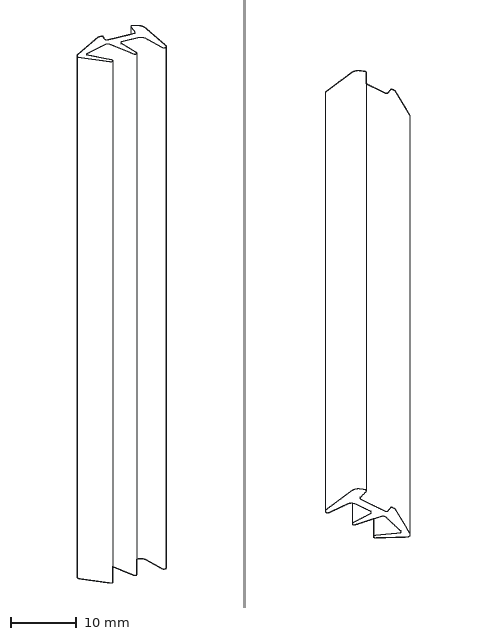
import cadquery as cq
import math

WIDTH = 7.27
DEPTH = 13.5
LENGTH = 100.0

LEFT = -WIDTH / 2
RIGHT = WIDTH / 2
FRONT = -DEPTH / 2
BACK = DEPTH / 2

WEB_LEFT = -1.66
WEB_THICKNESS = 1.2
WEB_RIGHT = WEB_LEFT + WEB_THICKNESS

TIP_RADIUS = 0.27
HEAD_TIP_RADIUS = 0.38
NOSE_RADIUS = 0.3
APEX_RADIUS = 0.5
SHOULDER_RADIUS = 1.5
HEAD_ROOT_RADIUS = 1.2
MIDDLE_ROOT_RADIUS = 0.3
BEND_RADIUS = 0.6
VALLEY_RADIUS = 0.2
BARB_RADIUS = 0.1
SMALL_ROOT_RADIUS = 0.3

APEX_X = 0.47
FOOT_TIP_Y = -2.4
VALLEY_X = 0.58
VALLEY_Y = -5.06
BEND_X = -0.15
BEND_Y = -1.55
MIDDLE_TIP_X = 2.95
MIDDLE_TIP_Y = 1.67
MIDDLE_ROOT_Y = 0.92
HEAD_ROOT_Y = 3.5
HEAD_TIP_X = 2.98
SHOULDER_X = -1.95
SHOULDER_Y = 4.0
NOSE_Y = 3.8
HEAD_UNDERSIDE_Y = 3.62

BARB_X = -2.86
BARB_TOP_Y = -1.33
BARB_BOTTOM_Y = -2.1


def convex(x, y, radius):
    """Outward rounded corner, given by its arc centre."""
    return x, y, radius


def concave(x, y, radius):
    """Inward rounded corner, given by its arc centre; its radius is stored negative."""
    return x, y, -radius


def tangent_heading(start, end):
    """Heading of the straight line that leaves one corner arc and meets the next one."""
    dx = end[0] - start[0]
    dy = end[1] - start[1]
    offset = end[2] - start[2]
    return math.atan2(dy, dx) - math.asin(offset / math.hypot(dx, dy))


def arc_point(corner, heading):
    """Point of a corner arc where the outline runs along the given heading."""
    x, y, radius = corner
    return x + radius * math.sin(heading), y - radius * math.cos(heading)


def rounded_outline(corners):
    """Closed counter-clockwise wire of corner arcs joined by their common tangents."""
    count = len(corners)
    headings = [tangent_heading(corners[i], corners[(i + 1) % count]) for i in range(count)]
    outline = cq.Workplane("XY").moveTo(*arc_point(corners[0], headings[0]))
    for i in range(1, count + 1):
        corner = corners[i % count]
        heading_in = headings[i - 1]
        turn = math.remainder(headings[i % count] - heading_in, math.tau)
        outline = outline.lineTo(*arc_point(corner, heading_in))
        outline = outline.threePointArc(
            arc_point(corner, heading_in + turn / 2),
            arc_point(corner, heading_in + turn),
        )
    return outline.close()


foot = [
    convex(APEX_X, FRONT + APEX_RADIUS, APEX_RADIUS),
    convex(RIGHT - TIP_RADIUS, FOOT_TIP_Y, TIP_RADIUS),
    concave(VALLEY_X, VALLEY_Y, VALLEY_RADIUS),
    concave(BEND_X, BEND_Y, BEND_RADIUS),
]

middle_lip = [
    convex(MIDDLE_TIP_X, MIDDLE_TIP_Y, TIP_RADIUS),
    concave(WEB_RIGHT + MIDDLE_ROOT_RADIUS, MIDDLE_ROOT_Y, MIDDLE_ROOT_RADIUS),
]

head = [
    concave(WEB_RIGHT + HEAD_ROOT_RADIUS, HEAD_ROOT_Y, HEAD_ROOT_RADIUS),
    convex(HEAD_TIP_X, BACK - HEAD_TIP_RADIUS, HEAD_TIP_RADIUS),
    convex(SHOULDER_X, SHOULDER_Y, SHOULDER_RADIUS),
    convex(LEFT + NOSE_RADIUS, NOSE_Y, NOSE_RADIUS),
    concave(WEB_LEFT - SMALL_ROOT_RADIUS, HEAD_UNDERSIDE_Y - SMALL_ROOT_RADIUS, SMALL_ROOT_RADIUS),
]

barb = [
    concave(WEB_LEFT - SMALL_ROOT_RADIUS, BARB_TOP_Y + SMALL_ROOT_RADIUS, SMALL_ROOT_RADIUS),
    convex(BARB_X + BARB_RADIUS, BARB_TOP_Y - BARB_RADIUS, BARB_RADIUS),
    convex(BARB_X + BARB_RADIUS, BARB_BOTTOM_Y + BARB_RADIUS, BARB_RADIUS),
]

profile = rounded_outline(foot + middle_lip + head + barb)
result = profile.extrude(LENGTH).translate((0, 0, -LENGTH / 2))